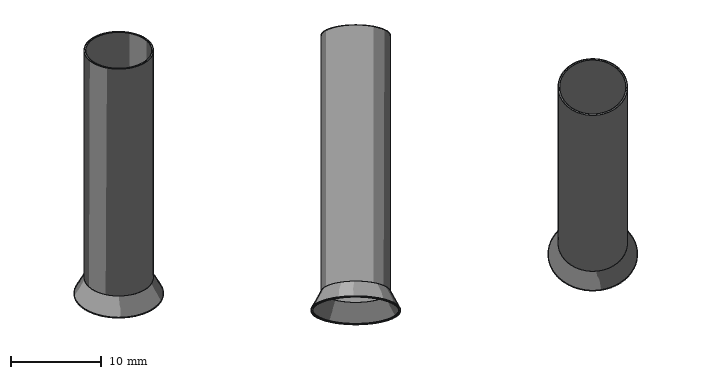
import cadquery as cq

total_length = 32
tube_outer_radius = 3.85
wall_thickness = 0.2
flare_diameter = 9.9
flare_height = 2.18
rim_height = 0.1

flare_radius = flare_diameter / 2
tube_inner_radius = tube_outer_radius - wall_thickness
flare_inner_radius = flare_radius - wall_thickness

wall_section = (
    cq.Workplane("XZ")
    .moveTo(flare_inner_radius, 0)
    .lineTo(flare_radius, 0)
    .lineTo(flare_radius, rim_height)
    .lineTo(tube_outer_radius, flare_height)
    .lineTo(tube_outer_radius, total_length)
    .lineTo(tube_inner_radius, total_length)
    .lineTo(tube_inner_radius, flare_height)
    .lineTo(flare_inner_radius, rim_height)
    .close()
)

result = wall_section.revolve(360, (0, 0, 0), (0, 1, 0))